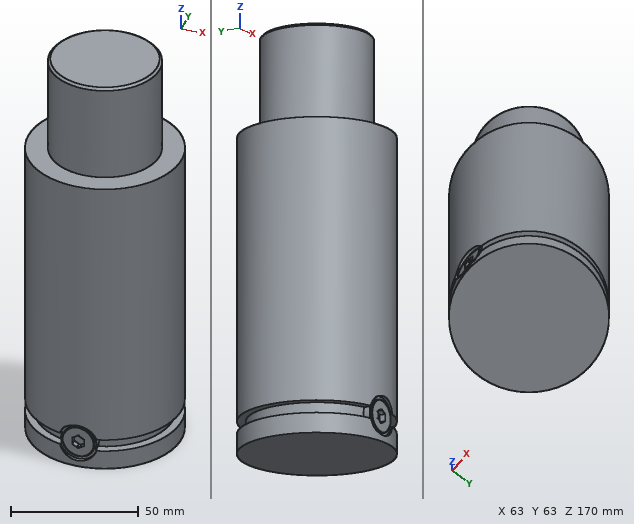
import cadquery as cq

total_height = 170.0
body_diameter = 63.0
body_height = 129.0
rod_diameter = 45.0
rod_chamfer = 1.0

groove_diameter = 56.1
groove_bottom = 8.2
groove_width = 5.1

plug_height = groove_bottom + groove_width / 2
pocket_diameter = 16.2
pocket_floor = 30.0
plug_root = 25.5
collar_diameter = 15.0
plug_diameter = 13.6
plug_face = 30.6
plug_chamfer = 0.3
hex_across_corners = 5.8
hex_depth = 2.5


def cylinder(diameter, bottom, height):
    return cq.Workplane("XY").workplane(offset=bottom).circle(diameter / 2).extrude(height)


def side_plane(distance):
    """Plane facing -Y at the plug height, at a distance from the body axis."""
    return cq.Workplane(cq.Plane(origin=(0, -distance, plug_height), xDir=(1, 0, 0), normal=(0, -1, 0)))


def make_body():
    body = cylinder(body_diameter, 0, body_height)
    groove = cylinder(body_diameter, groove_bottom, groove_width).cut(
        cylinder(groove_diameter, groove_bottom, groove_width)
    )
    return body.cut(groove)


def make_rod():
    rod = cylinder(rod_diameter, 0, total_height)
    return rod.faces(">Z").chamfer(rod_chamfer)


def make_pocket():
    return side_plane(pocket_floor).circle(pocket_diameter / 2).extrude(body_diameter / 2)


def make_plug():
    collar = side_plane(plug_root).circle(collar_diameter / 2).extrude(pocket_floor - plug_root)
    plug = side_plane(plug_root).circle(plug_diameter / 2).extrude(plug_face - plug_root)
    plug = plug.faces("<Y").chamfer(plug_chamfer)
    socket = side_plane(plug_face).transformed(rotate=(0, 0, 90)).polygon(6, hex_across_corners)
    return collar.union(plug).cut(socket.extrude(-hex_depth))


result = make_body().union(make_rod()).cut(make_pocket()).union(make_plug())